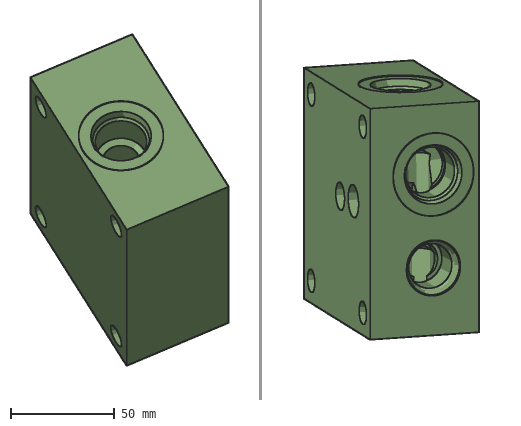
import cadquery as cq
import math

LENGTH_X = 101.6
DEPTH_Y = 55.58
HEIGHT_Z = 114.3

BOLT_DIAMETER = 11.2
BOLT_SPAN_X = 79.4
BOLT_SPAN_Z = 92.1

PORT_Y = -4.6
UPPER_PORT_Z = 22.4
LOWER_PORT_Z = -23.8

SPOTFACE_DIAMETER = 41.0
SPOTFACE_DEPTH = 0.5
SEAL_DIAMETER = 29.2
SEAL_DEPTH = 3.6
SEAL_END_DIAMETER = 27.3
LEAD_IN_DEPTH = 1.3
THREAD_DIAMETER = 24.9
TOP_THREAD_DEPTH = 20.0
TOP_FLOOR_DROP = 3.6
SIDE_THREAD_DEPTH = 19.5
SIDE_BORE_DIAMETER = 23.9
SIDE_BORE_DEPTH = 22.8

LOWER_SPOTFACE_DIAMETER = 27.4
LOWER_SPOTFACE_DEPTH = 0.6
LOWER_SEAL_DIAMETER = 26.6
LOWER_SEAL_END_DIAMETER = 23.9
LOWER_SEAL_DEPTH = 3.2
LOWER_LEAD_IN_DEPTH = 1.3
LOWER_THREAD_DIAMETER = 22.0
LOWER_PORT_DEPTH = 20.5

MAIN_DRILL = 17.7
SMALL_DRILL = 13.5
SIDE_CROSS_DRILL = 16.0
DRILL_POINT_ANGLE = 118.0
TOP_DRILL_END_Z = 4.3
TOP_CROSS_X = -4.9
TOP_CROSS_Z = 4.7
SIDE_CROSS_X = -25.2
SIDE_CROSS_Z = 6.3
RISER_X = -26.5
RISER_START_Z = SIDE_CROSS_Z - 4.0
RISER_END_Z = UPPER_PORT_Z + 4.6
BOTTOM_DRILL = 19.8
BOTTOM_DRILL_X = -21.0
LOWER_DRILL_END_X = BOTTOM_DRILL_X - 1.0
BOTTOM_DRILL_END_Z = LOWER_PORT_Z + 1.9


def point_length(diameter):
    """Length of the conical point left by a drill."""
    return diameter / 2 / math.tan(math.radians(DRILL_POINT_ANGLE / 2))


def bore(start, direction, steps):
    """Stepped round cutter from (radius, depth) steps, running inward along direction."""
    profile = cq.Workplane("XZ").moveTo(0, 0)
    for radius, depth in steps:
        profile = profile.lineTo(radius, depth)
    cutter = profile.close().revolve(360, (0, 0, 0), (0, 1, 0)).val()
    frame = cq.Plane(origin=start, normal=direction)
    return cq.Workplane(cutter.moved(cq.Location(frame)))


def drilling(start, direction, diameter, depth):
    """Round hole with full diameter to the given depth, then a drill point."""
    radius = diameter / 2
    return bore(start, direction, [(radius, 0), (radius, depth), (0, depth + point_length(diameter))])


def large_port(start, direction, ending):
    """Spotfaced O-ring port; ending lists the steps that follow the lead-in cone."""
    lead_in_start = SPOTFACE_DEPTH + SEAL_DEPTH
    mouth = [
        (SPOTFACE_DIAMETER / 2, 0),
        (SPOTFACE_DIAMETER / 2, SPOTFACE_DEPTH),
        (SEAL_DIAMETER / 2, SPOTFACE_DEPTH),
        (SEAL_END_DIAMETER / 2, lead_in_start),
        (THREAD_DIAMETER / 2, lead_in_start + LEAD_IN_DEPTH),
    ]
    return bore(start, direction, mouth + ending)


def top_port():
    """Port on the top face, carried on by a smaller drilling."""
    start = (0, PORT_Y, HEIGHT_Z / 2)
    ending = [
        (THREAD_DIAMETER / 2, TOP_THREAD_DEPTH),
        (0, TOP_THREAD_DEPTH + TOP_FLOOR_DROP),
    ]
    port = large_port(start, (0, 0, -1), ending)
    return port.union(drilling(start, (0, 0, -1), MAIN_DRILL, HEIGHT_Z / 2 - TOP_DRILL_END_Z))


def upper_side_port():
    """Port high on the -X face, ending in a drill point."""
    ending = [
        (THREAD_DIAMETER / 2, SIDE_THREAD_DEPTH),
        (SIDE_BORE_DIAMETER / 2, SIDE_THREAD_DEPTH),
        (SIDE_BORE_DIAMETER / 2, SIDE_BORE_DEPTH),
        (0, SIDE_BORE_DEPTH + point_length(SIDE_BORE_DIAMETER)),
    ]
    return large_port((-LENGTH_X / 2, PORT_Y, UPPER_PORT_Z), (1, 0, 0), ending)


def lower_side_port():
    """Flat-bottomed port low on the -X face, drilled on to the bottom drilling."""
    start = (-LENGTH_X / 2, PORT_Y, LOWER_PORT_Z)
    lead_in_start = LOWER_SPOTFACE_DEPTH + LOWER_SEAL_DEPTH
    port = bore(start, (1, 0, 0), [
        (LOWER_SPOTFACE_DIAMETER / 2, 0),
        (LOWER_SPOTFACE_DIAMETER / 2, LOWER_SPOTFACE_DEPTH),
        (LOWER_SEAL_DIAMETER / 2, LOWER_SPOTFACE_DEPTH),
        (LOWER_SEAL_END_DIAMETER / 2, lead_in_start),
        (LOWER_THREAD_DIAMETER / 2, lead_in_start + LOWER_LEAD_IN_DEPTH),
        (LOWER_THREAD_DIAMETER / 2, LOWER_PORT_DEPTH),
        (0, LOWER_PORT_DEPTH),
    ])
    return port.union(drilling(start, (1, 0, 0), MAIN_DRILL, LOWER_DRILL_END_X + LENGTH_X / 2))


def cross_drilling(x, z, diameter):
    """Drilling from the +Y face, full diameter up to the plane of the port axes."""
    return drilling((x, DEPTH_Y / 2, z), (0, -1, 0), diameter, DEPTH_Y / 2 - PORT_Y)


def riser():
    """Short vertical drilling that joins the upper side port to its cross drilling."""
    return drilling((RISER_X, PORT_Y, RISER_START_Z), (0, 0, 1), SMALL_DRILL, RISER_END_Z - RISER_START_Z)


def bottom_drilling():
    """Drilling from the bottom face up to the lower side port."""
    start = (BOTTOM_DRILL_X, PORT_Y, -HEIGHT_Z / 2)
    return drilling(start, (0, 0, 1), BOTTOM_DRILL, BOTTOM_DRILL_END_Z + HEIGHT_Z / 2)


def manifold_block():
    block = cq.Workplane("XY").box(LENGTH_X, DEPTH_Y, HEIGHT_Z)
    block = block.faces("<Y").workplane(centerOption="CenterOfBoundBox")
    block = block.rarray(BOLT_SPAN_X, BOLT_SPAN_Z, 2, 2).hole(BOLT_DIAMETER)
    cutters = [
        top_port(),
        upper_side_port(),
        lower_side_port(),
        cross_drilling(TOP_CROSS_X, TOP_CROSS_Z, SMALL_DRILL),
        cross_drilling(SIDE_CROSS_X, SIDE_CROSS_Z, SIDE_CROSS_DRILL),
        riser(),
        bottom_drilling(),
    ]
    for cutter in cutters:
        block = block.cut(cutter)
    return block


block = manifold_block()
result = cq.Compound.makeCompound([block.val()])